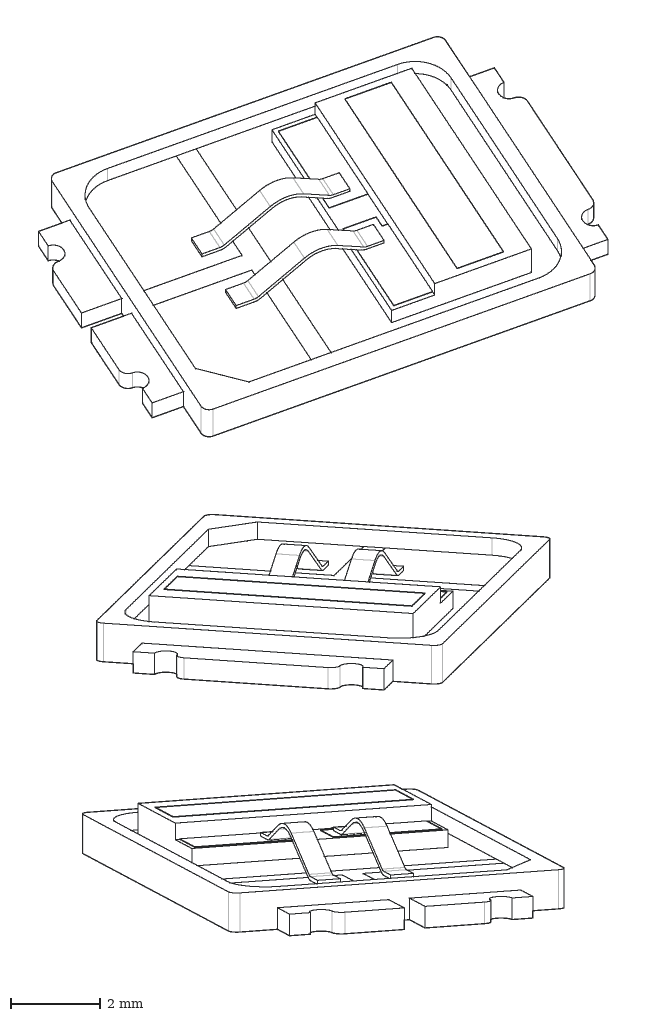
import cadquery as cq
import math


FRAME_WIDTH = 8.0
FRAME_LENGTH = 9.79
FRAME_HEIGHT = 0.9
FRAME_CORNER_RADIUS = 0.2

POCKET_WIDTH = 7.22
POCKET_LENGTH = 9.02
POCKET_CORNER_RADIUS = 0.9
POCKET_CHAMFER = 0.9

LEAD_THICKNESS = 0.5
LEAD_GAP = 0.5
LARGE_LEAD_FRONT_Y = -1.4
SMALL_LEAD_BACK_Y = LARGE_LEAD_FRONT_Y - LEAD_GAP

TAB_END_Y = 5.9
TAB_HALF_WIDTH = 2.9
NOTCH_X = 2.15
NOTCH_RADIUS = 0.26
NOSE_HALF_WIDTH = NOTCH_X - NOTCH_RADIUS
NOSE_RADIUS = 0.22
SHOULDER_Y = TAB_END_Y - NOSE_RADIUS

CHIP_WIDTH = 6.11
CHIP_BACK_Y = 3.69
CHIP_STEP_Y = 1.29
CHIP_FRONT_Y = 0.21
CHIP_STEP_Z = FRAME_HEIGHT
CHIP_TOP_Z = 1.27

PAD_HEIGHT = 0.01
TOP_PAD_WIDTH = 5.73
TOP_PAD_BACK_Y = 3.09
TOP_PAD_FRONT_Y = 1.94
STEP_PAD_INNER_X = 0.35
STEP_PAD_MARGIN = 0.11
STEP_PAD_OUTER_X = CHIP_WIDTH / 2 - STEP_PAD_MARGIN
STEP_PAD_FRONT_Y = CHIP_FRONT_Y + STEP_PAD_MARGIN
PAD_NOTCH_WIDTH = 0.31
PAD_NOTCH_LENGTH = 0.14

CLIP_X = 0.87
CLIP_WIDTH = 0.54
CLIP_THICKNESS = 0.1
CLIP_BACK_Y = 0.95
CLIP_FRONT_Y = -2.73
CLIP_TOP_Z = 1.48
CROWN_Y = -0.59
CROWN_RADIUS = 0.81
FOOT_BEND_RADIUS = 0.2
BACK_SLOPE = math.radians(29)
FRONT_SLOPE = math.radians(32.4)


def block(width, back_y, front_y, bottom_z, top_z):
    """Box centred on X = 0, between two Y positions and two heights."""
    size = (width, back_y - front_y, top_z - bottom_z)
    corner_box = cq.Workplane("XY").box(*size, centered=(True, False, False))
    return corner_box.translate((0, front_y, bottom_z))


def pocket_prism(bottom_z, top_z):
    """Prism with the pocket's outline: three round corners and one chamfered one at +X, -Y."""
    half_length = POCKET_LENGTH / 2
    prism = block(POCKET_WIDTH, half_length, -half_length, bottom_z, top_z)
    prism = prism.edges("|Z").edges("<X or >Y").fillet(POCKET_CORNER_RADIUS)
    return prism.edges("|Z").edges(">X").edges("<Y").chamfer(POCKET_CHAMFER)


def tab_plate():
    """Plate from mid-length to the +Y end, with a round notch beside each side of its nose."""
    nose_flat_x = NOSE_HALF_WIDTH - NOSE_RADIUS
    nose_arc_offset = NOSE_RADIUS * math.sqrt(0.5)
    nose_arc_middle = (nose_flat_x + nose_arc_offset, SHOULDER_Y + nose_arc_offset)
    return (
        cq.Workplane("XY")
        .lineTo(TAB_HALF_WIDTH, 0)
        .lineTo(TAB_HALF_WIDTH, SHOULDER_Y)
        .lineTo(NOTCH_X + NOTCH_RADIUS, SHOULDER_Y)
        .threePointArc((NOTCH_X, SHOULDER_Y - NOTCH_RADIUS), (NOSE_HALF_WIDTH, SHOULDER_Y))
        .threePointArc(nose_arc_middle, (nose_flat_x, TAB_END_Y))
        .lineTo(0, TAB_END_Y)
        .mirrorY()
        .extrude(LEAD_THICKNESS)
    )


def make_leads():
    """One large lead at +Y and two small ones at -Y, cut from one plate as wide as the pocket."""
    tab = tab_plate()
    plate = pocket_prism(0, LEAD_THICKNESS).union(tab).union(tab.mirror("XZ"))
    across_gap = block(FRAME_WIDTH, LARGE_LEAD_FRONT_Y, SMALL_LEAD_BACK_Y, 0, LEAD_THICKNESS)
    lengthwise_gap = block(LEAD_GAP, LARGE_LEAD_FRONT_Y, -TAB_END_Y, 0, LEAD_THICKNESS)
    return plate.cut(across_gap).cut(lengthwise_gap).solids()


def make_frame(leads):
    """Rounded block with the pocket above the leads and a matching recess for every lead."""
    half_length = FRAME_LENGTH / 2
    frame = block(FRAME_WIDTH, half_length, -half_length, 0, FRAME_HEIGHT)
    frame = frame.edges("|Z").fillet(FRAME_CORNER_RADIUS)
    frame = frame.cut(pocket_prism(LEAD_THICKNESS, FRAME_HEIGHT))
    for lead in leads.vals():
        frame = frame.cut(cq.Workplane(lead))
    return frame


def clip_strip(x):
    """Strip with two flat feet and a rounded crown between two slopes, centred on the given X."""
    back_z = CHIP_STEP_Z + CLIP_THICKNESS
    front_z = LEAD_THICKNESS + CLIP_THICKNESS

    crown_centre_z = CLIP_TOP_Z - CROWN_RADIUS
    back_line_z = crown_centre_z + CROWN_RADIUS / math.cos(BACK_SLOPE)
    front_line_z = crown_centre_z + CROWN_RADIUS / math.cos(FRONT_SLOPE)
    back_bend_y = CROWN_Y + (back_line_z - back_z) / math.tan(BACK_SLOPE)
    front_bend_y = CROWN_Y - (front_line_z - front_z) / math.tan(FRONT_SLOPE)
    apex_shift = (back_line_z - front_line_z) / (math.tan(BACK_SLOPE) + math.tan(FRONT_SLOPE))
    apex_z = back_line_z - apex_shift * math.tan(BACK_SLOPE)

    path = [
        (CLIP_BACK_Y, back_z, 0, 0),
        (back_bend_y, back_z, 0, BACK_SLOPE),
        (CROWN_Y + apex_shift, apex_z, BACK_SLOPE, -FRONT_SLOPE),
        (front_bend_y, front_z, -FRONT_SLOPE, 0),
        (CLIP_FRONT_Y, front_z, 0, 0),
    ]
    upper = [(y, z) for y, z, before, after in path]

    lower = []
    for y, z, before, after in path:
        bisector = (before + after) / 2
        depth = CLIP_THICKNESS / math.cos((after - before) / 2)
        lower.append((y - depth * math.sin(bisector), z - depth * math.cos(bisector)))

    strip = cq.Workplane("YZ").polyline(upper + lower[::-1]).close().extrude(CLIP_WIDTH / 2, both=True)

    foot_outer_radius = FOOT_BEND_RADIUS + CLIP_THICKNESS
    rounded_bends = [
        (upper[1], FOOT_BEND_RADIUS),
        (lower[1], foot_outer_radius),
        (upper[2], CROWN_RADIUS),
        (lower[2], CROWN_RADIUS - CLIP_THICKNESS),
        (upper[3], FOOT_BEND_RADIUS),
        (lower[3], foot_outer_radius),
    ]
    for (y, z), radius in rounded_bends:
        bend_edge = cq.selectors.NearestToPointSelector((0, y, z))
        strip = strip.edges(bend_edge).fillet(radius)
    return strip.translate((x, 0, 0))


def add_pads(chip):
    """Chip with its pads; the step pad at +X has a notch in its inner back corner."""
    pad_top_z = CHIP_TOP_Z + PAD_HEIGHT
    chip = chip.union(block(TOP_PAD_WIDTH, TOP_PAD_BACK_Y, TOP_PAD_FRONT_Y, CHIP_TOP_Z, pad_top_z))

    width = STEP_PAD_OUTER_X - STEP_PAD_INNER_X
    centre_x = (STEP_PAD_OUTER_X + STEP_PAD_INNER_X) / 2
    step_pad = block(width, CHIP_STEP_Y, STEP_PAD_FRONT_Y, CHIP_STEP_Z, CHIP_STEP_Z + PAD_HEIGHT)
    notch_x = STEP_PAD_INNER_X + PAD_NOTCH_WIDTH / 2
    notch_front_y = CHIP_STEP_Y - PAD_NOTCH_LENGTH
    notch = block(PAD_NOTCH_WIDTH, CHIP_STEP_Y, notch_front_y, CHIP_STEP_Z, CHIP_STEP_Z + PAD_HEIGHT)
    notched_pad = step_pad.translate((centre_x, 0, 0)).cut(notch.translate((notch_x, 0, 0)))
    return chip.union(step_pad.translate((-centre_x, 0, 0))).union(notched_pad)


def make_chip():
    """Stepped block with thin pads and the two clips that stand on its lower step."""
    chip = block(CHIP_WIDTH, CHIP_BACK_Y, CHIP_FRONT_Y, LEAD_THICKNESS, CHIP_STEP_Z)
    chip = chip.union(block(CHIP_WIDTH, CHIP_BACK_Y, CHIP_STEP_Y, LEAD_THICKNESS, CHIP_TOP_Z))
    chip = add_pads(chip)
    for x in (-CLIP_X, CLIP_X):
        chip = chip.union(clip_strip(x))
    return chip


leads = make_leads()
frame = make_frame(leads)
chip = make_chip()

result = cq.Compound.makeCompound([frame.val(), *leads.vals(), chip.val()])